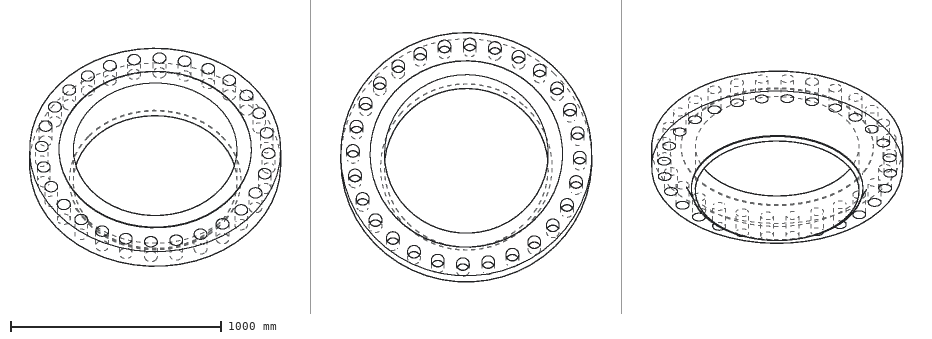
import cadquery as cq

outer_diameter = 1194.0
total_height = 266.0
flange_thickness = 119.0
bore_diameter = 777.0

face_diameter = 915.0
face_height = 6.0

hub_base_diameter = 917.0
hub_fillet_radius = 18.0
weld_end_diameter = 815.0
weld_end_land = 6.0
bevel_height = 13.0
bevel_width = 18.0

bolt_count = 28
bolt_circle_diameter = 1078.0
bolt_hole_diameter = 61.0

flange_top = total_height - face_height
flange_bottom = flange_top - flange_thickness
taper_bottom = bevel_height + weld_end_land


def make_hub():
    """Revolve the weld bevel, short cylindrical land and tapered neck."""
    weld_end_radius = weld_end_diameter / 2
    return (
        cq.Workplane("XZ")
        .moveTo(0, 0)
        .lineTo(weld_end_radius - bevel_width, 0)
        .lineTo(weld_end_radius, bevel_height)
        .lineTo(weld_end_radius, taper_bottom)
        .lineTo(hub_base_diameter / 2, flange_bottom)
        .lineTo(0, flange_bottom)
        .close()
        .revolve(360, (0, 0, 0), (0, 1, 0))
    )


def make_disc(diameter, bottom, height):
    return cq.Workplane("XY").workplane(offset=bottom).circle(diameter / 2).extrude(height)


def make_bolt_holes():
    return (
        cq.Workplane("XY")
        .workplane(offset=flange_bottom)
        .polarArray(bolt_circle_diameter / 2, 0, 360, bolt_count)
        .circle(bolt_hole_diameter / 2)
        .extrude(flange_thickness)
    )


body = make_hub().union(make_disc(outer_diameter, flange_bottom, flange_thickness))
hub_corner = cq.selectors.RadiusNthSelector(-2)
body = body.edges("%CIRCLE").edges(hub_corner).fillet(hub_fillet_radius)

body = body.union(make_disc(face_diameter, flange_top, face_height))
body = body.cut(make_disc(bore_diameter, 0, total_height))
result = body.cut(make_bolt_holes())